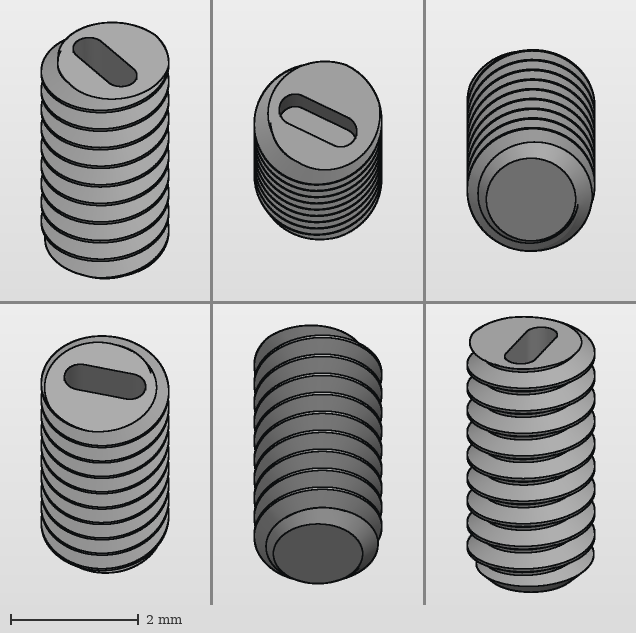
import cadquery as cq
import math

length = 4.0
major_diameter = 2.0
end_chamfer = 0.3

pitch = 0.4
root_diameter = 1.485
crest_flat = pitch / 8
thread_angle = 60.0
flank_slope = math.tan(math.radians(thread_angle / 2))

slot_length = 1.295
slot_width = 0.5
slot_depth = 0.8

major_radius = major_diameter / 2
root_radius = root_diameter / 2


def make_blank():
    """Cylinder at the crest diameter, long enough to contain both ends of the groove."""
    overhang = 3 * pitch
    return cq.Workplane("XY", origin=(0, 0, -overhang)).circle(major_radius).extrude(length + 2 * overhang)


def make_envelope():
    """Finished outline of the screw: flat top and chamfered bottom end."""
    envelope = cq.Workplane("XY").circle(major_radius).extrude(length)
    return envelope.faces("<Z").chamfer(end_chamfer)


def make_groove():
    """Helical thread groove that runs past both ends of the screw."""
    clearance = 0.02
    outer_radius = major_radius + clearance
    outer_half = (pitch - crest_flat) / 2 + clearance * flank_slope
    root_half = outer_half - (outer_radius - root_radius) * flank_slope

    crest_center = length + crest_flat / 2 - pitch / 4
    groove_end = crest_center + 1.5 * pitch
    turns = math.ceil(length / pitch) + 3
    start = groove_end - turns * pitch

    corners = [
        (root_radius, -root_half),
        (outer_radius, -outer_half),
        (outer_radius, outer_half),
        (root_radius, root_half),
    ]
    edges = []
    for radius, height in corners:
        helix = cq.Wire.makeHelix(pitch, turns * pitch, radius)
        edges.append(helix.translate(cq.Vector(0, 0, start + height)))
    faces = [cq.Face.makeRuledSurface(edges[i - 1], edges[i]).Faces()[0] for i in range(len(edges))]

    for cap_height in (start, start + turns * pitch):
        points = [cq.Vector(radius, 0, cap_height + height) for radius, height in corners]
        faces.append(cq.Face.makeFromWires(cq.Wire.makePolygon(points, close=True)))
    return cq.Workplane(cq.Solid.makeSolid(cq.Shell.makeShell(faces)))


def make_slot():
    """Blind driver slot along X in the top face."""
    slot = cq.Workplane("XY").workplane(offset=length)
    return slot.slot2D(slot_length, slot_width).extrude(-slot_depth)


threaded_rod = make_blank().cut(make_groove())
result = threaded_rod.intersect(make_envelope()).cut(make_slot())